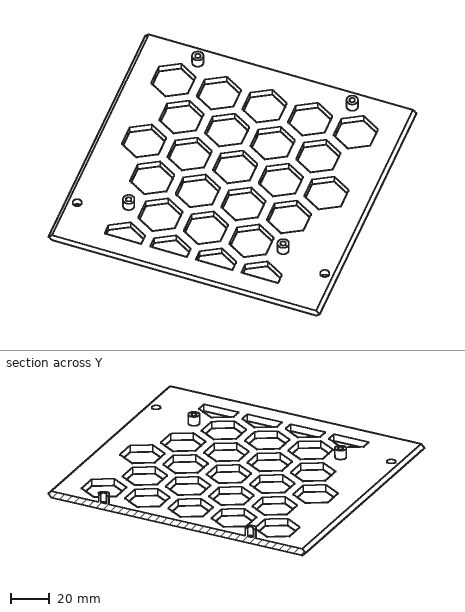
import cadquery as cq
import math

plate_width = 148.6
plate_length = 142.8
plate_thickness = 4.0
bevel = plate_thickness / 2

hex_flats = 20.0
hex_pitch = 25.0
hex_row_pitch = hex_pitch * math.sqrt(3) / 2
hex_corner_diameter = hex_flats * 2 / math.sqrt(3)
first_row_y = 47.3
hexes_per_row = [5, 4, 5, 4, 3, 4]
last_row_y = first_row_y - (len(hexes_per_row) - 1) * hex_row_pitch

pin_diameter = 6.0
pin_bore = 2.8
pin_height = 5.0
pin_spacing_x = 84.5
pin_rear_y = 62.7
pin_front_y = -39.2

hole_diameter = 4.6
hole_spacing_x = 135.5
hole_y = -46.5


def mirrored_pair(spacing_x, y):
    """Two points at equal distances either side of the centre line."""
    return [(-spacing_x / 2, y), (spacing_x / 2, y)]


def make_plate():
    """Plate with pointed left and right sides, bottom face at Z = 0."""
    side_x = plate_width / 2
    face_x = side_x - bevel
    profile = [
        (-face_x, 0),
        (face_x, 0),
        (side_x, plate_thickness / 2),
        (face_x, plate_thickness),
        (-face_x, plate_thickness),
        (-side_x, plate_thickness / 2),
    ]
    return cq.Workplane("XZ").polyline(profile).close().extrude(plate_length / 2, both=True)


def make_honeycomb():
    """Cutter for all hexagonal openings, ending flat at the last row's centres."""
    centres = []
    for row, count in enumerate(hexes_per_row):
        y = first_row_y - row * hex_row_pitch
        for column in range(count):
            x = (column - (count - 1) / 2) * hex_pitch
            centres.append((x, y))
    hexagon = cq.Sketch().regularPolygon(hex_corner_diameter / 2, 6)
    openings = cq.Workplane("XY").pushPoints(centres).placeSketch(hexagon).extrude(plate_thickness)
    kept_area = (
        cq.Workplane("XY", origin=(0, last_row_y, 0))
        .box(plate_width, plate_length, plate_thickness, centered=(True, False, False))
    )
    return openings.intersect(kept_area)


plate = make_plate().cut(make_honeycomb())

holes = mirrored_pair(hole_spacing_x, hole_y)
plate = plate.cut(
    cq.Workplane("XY").pushPoints(holes).circle(hole_diameter / 2).extrude(plate_thickness)
)

pin_centres = mirrored_pair(pin_spacing_x, pin_rear_y) + mirrored_pair(pin_spacing_x, pin_front_y)
pins = (
    cq.Workplane("XY", origin=(0, 0, plate_thickness))
    .pushPoints(pin_centres)
    .circle(pin_diameter / 2)
    .circle(pin_bore / 2)
    .extrude(pin_height)
)

result = plate.union(pins)